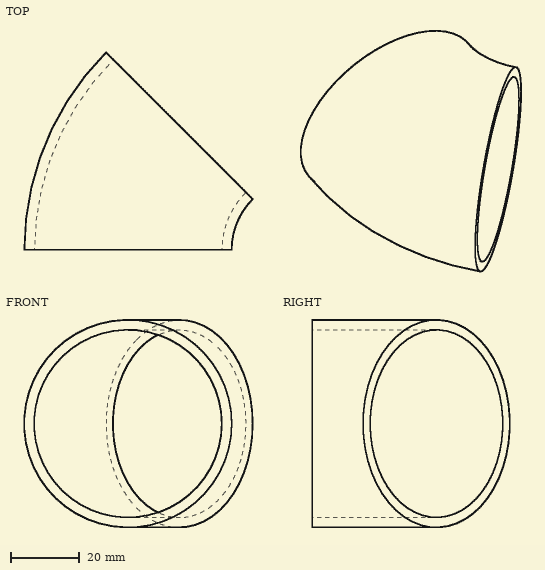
import cadquery as cq

outer_diameter = 60.3
wall_thickness = 2.9
bend_radius = 51.0
bend_angle = 45

inner_diameter = outer_diameter - 2 * wall_thickness

section = (
    cq.Workplane("XZ")
    .circle(outer_diameter / 2)
    .circle(inner_diameter / 2)
)

axis_start = (bend_radius, 0)
axis_end = (bend_radius, -1)
result = section.revolve(bend_angle, axis_start, axis_end)